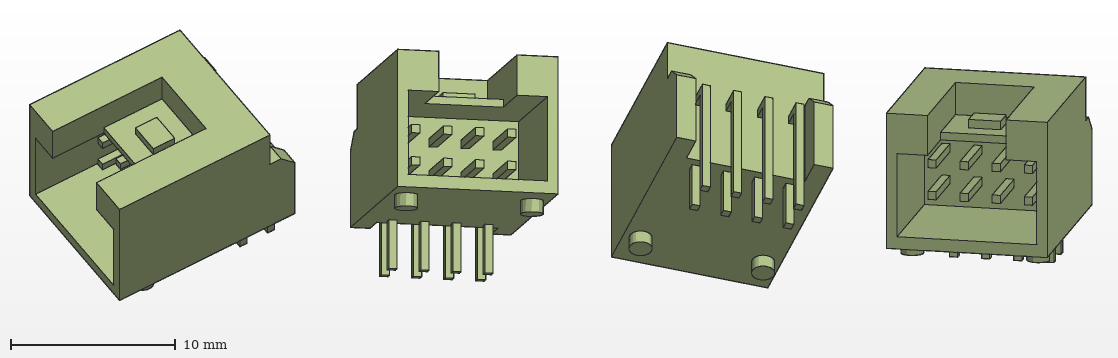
import cadquery as cq


width = 10.0
depth = 12.7
overall_height = 11.5

housing_height = 8.5
rear_step = 1.8
main_depth = depth - rear_step

leg_width = 1.22
leg_height = 5.75
leg_chamfer = 1.0

cavity_width = 8.66
cavity_floor = 0.77
cavity_roof = 6.0
cavity_depth = 7.72

opening_width = 4.88
opening_depth = 7.92
tongue_front = 3.71
tongue_top = 6.48

catch_width = 2.0
catch_height = 0.53
catch_front = 5.05
catch_rear = 6.6

peg_diameter = 1.4
peg_length = 0.83
peg_spacing = 7.82
peg_y = 2.39

pin_rows = 2
pin_columns = 4
pin_pitch = 2.0
pin_size = 0.51
pin_tip_y = 3.81
lower_pin_z = 2.44
rear_pin_inset = 0.58
pin_drop = overall_height - housing_height


def block(size_x, y_start, y_end, z_start, z_end, x_center=0):
    """Box centred on x_center in X, spanning the given Y and Z ranges."""
    size_y = y_end - y_start
    size_z = z_end - z_start
    box = cq.Workplane("XY").box(size_x, size_y, size_z, centered=(True, False, False))
    return box.translate((x_center, y_start, z_start))


def make_leg(x_center):
    points = [
        (main_depth, 0),
        (depth, 0),
        (depth, leg_height - leg_chamfer),
        (depth - leg_chamfer, leg_height),
        (main_depth, leg_height),
    ]
    outline = cq.Workplane("YZ").polyline(points).close()
    return outline.extrude(leg_width / 2, both=True).translate((x_center, 0, 0))


def make_catch():
    return block(catch_width, catch_front, catch_rear, tongue_top, tongue_top + catch_height)


def make_peg(x_center):
    peg = cq.Workplane("XY").circle(peg_diameter / 2).extrude(-peg_length)
    return peg.translate((x_center, peg_y, 0))


def make_pin(x_center, run_z, drop_y):
    """Pin with a horizontal run at run_z that bends straight down at drop_y."""
    half = pin_size / 2
    run = block(pin_size, pin_tip_y, drop_y + half, run_z - half, run_z + half, x_center)
    drop = block(pin_size, drop_y - half, drop_y + half, -pin_drop, run_z + half, x_center)
    return run.union(drop)


result = block(width, 0, main_depth, 0, housing_height)
result = result.cut(block(cavity_width, 0, cavity_depth, cavity_floor, cavity_roof))
result = result.cut(block(opening_width, 0, opening_depth, tongue_top, housing_height))
result = result.cut(block(opening_width, 0, tongue_front, cavity_roof, tongue_top))
result = result.union(make_catch())

for side in (-1, 1):
    result = result.union(make_leg(side * (width - leg_width) / 2))
    result = result.union(make_peg(side * peg_spacing / 2))

for row in range(pin_rows):
    run_z = lower_pin_z + row * pin_pitch
    drop_y = depth - rear_pin_inset - (pin_rows - 1 - row) * pin_pitch
    for column in range(pin_columns):
        pin_x = (column - (pin_columns - 1) / 2) * pin_pitch
        result = result.union(make_pin(pin_x, run_z, drop_y))